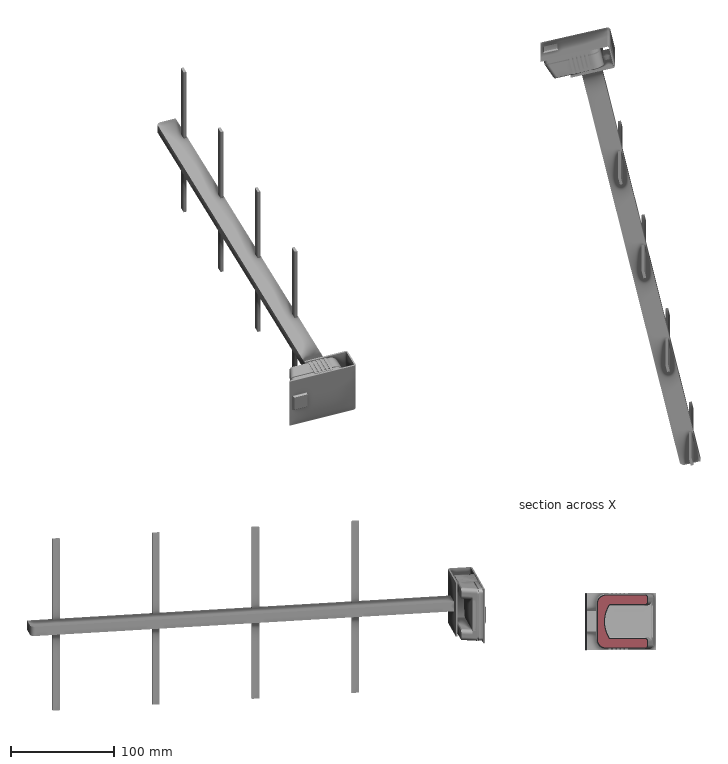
import cadquery as cq


BOOM_DEPTH = 20.0
BOOM_HEIGHT = 9.5
BOOM_TIP_RADIUS = 4.0
ELEMENT_COUNT = 4
ELEMENT_FIRST_X = 28.0
ELEMENT_PITCH = 98.1
ELEMENT_WIDTH = 7.2
ELEMENT_THICKNESS = 2.7
ELEMENT_LENGTH = 175.0
ELEMENT_Y = 7.3

TOTAL_LENGTH = 442.2
BRACKET_WIDTH = 24.0
BRACKET_HEIGHT = 55.0
BRACKET_BACK_Y = 25.0
BRACKET_DEPTH = 69.0
SHEET = 1.5
BEND_RADIUS = 2.7
INNER_BEND_RADIUS = BEND_RADIUS - SHEET
INNER_PLATE_DEPTH = 44.6

JOINT_OVERLAP = SHEET / 2

BOSS_HEIGHT = 17.5
BOSS_DEPTH = 14.6
BOSS_BACK_Y = -26.4
BOSS_CHAMFER = 1.2
BOSS_PROJECTION = 1.7

SADDLE_GAP = 0.8
SADDLE_HEIGHT = 53.4
SADDLE_BACK_Y = 14.2
SADDLE_BACK_RADIUS = 9.5
ARM_TIP_Y = -35.8
SADDLE_FRONT_Y = -41.3
ARM_TIP_RADIUS = 4.0
ARM_EDGE_CHAMFER = 0.8
FLANGE_THICKNESS = 3.8
SEAM_WIDTH = 1.3
SEAM_DEPTH = 1.0

SEAT_WIDTH = 31.0
SEAT_DEPTH_X = 10.3
SEAT_RADIUS = 30.0
SEAT_BOTTOM_Y = 6.0
SEAT_LIP_Y = -39.0
SEAT_LIP_WIDTH = 1.4

FIN_COUNT = 5
FIN_PITCH = 4.0
FIN_THICKNESS = 2.5
FIN_FIRST_Y = 0.7
FIN_INSET = 0.6

WEB_OFFSET = 4.0
WEB_WIDTH = 4.0
WEB_HEIGHT = 20.0

BRACKET_END_X = TOTAL_LENGTH - BOSS_PROJECTION
BRACKET_X = BRACKET_END_X - BRACKET_WIDTH
BRACKET_FRONT_Y = BRACKET_BACK_Y - BRACKET_DEPTH
SADDLE_X = BRACKET_X + SHEET + SADDLE_GAP
SADDLE_END_X = BRACKET_END_X - SHEET
BODY_END_X = SADDLE_END_X - FLANGE_THICKNESS - SEAM_WIDTH


def box(x_min, x_max, y_min, y_max, height):
    """Box given by its X and Y limits, centred on Z = 0."""
    block = cq.Workplane("XY").box(x_max - x_min, y_max - y_min, height, centered=(False, False, True))
    return block.translate((x_min, y_min, 0))


def make_boom():
    boom = box(0, BRACKET_X + JOINT_OVERLAP, -BOOM_DEPTH / 2, BOOM_DEPTH / 2, BOOM_HEIGHT)
    return boom.edges("|Z and <X and <Y").fillet(BOOM_TIP_RADIUS)


def make_element(x):
    element = cq.Workplane("XY").box(ELEMENT_WIDTH, ELEMENT_THICKNESS, ELEMENT_LENGTH)
    return element.translate((x, ELEMENT_Y, 0))


def make_bracket():
    outer = box(BRACKET_X, BRACKET_END_X, BRACKET_FRONT_Y, BRACKET_BACK_Y, BRACKET_HEIGHT)
    outer = outer.edges("|Z and >Y").fillet(BEND_RADIUS)
    inner = box(BRACKET_X + SHEET, SADDLE_END_X, BRACKET_FRONT_Y, BRACKET_BACK_Y - SHEET, BRACKET_HEIGHT)
    inner = inner.edges("|Z and >Y").fillet(INNER_BEND_RADIUS)
    inner_plate_end = box(
        BRACKET_X, BRACKET_X + SHEET, BRACKET_FRONT_Y, BRACKET_BACK_Y - INNER_PLATE_DEPTH, BRACKET_HEIGHT
    )
    return outer.cut(inner).cut(inner_plate_end)


def make_boss():
    boss = box(
        BRACKET_END_X - JOINT_OVERLAP, TOTAL_LENGTH, BOSS_BACK_Y - BOSS_DEPTH, BOSS_BACK_Y, BOSS_HEIGHT
    )
    return boss.faces(">X").edges("|Y or <Y").chamfer(BOSS_CHAMFER)


def make_seat():
    """Pole-seat cutter: parallel sides closed by a shallow arc at the back."""
    half = SEAT_WIDTH / 2
    arc_rise = SEAT_RADIUS - (SEAT_RADIUS**2 - half**2) ** 0.5
    shoulder_y = SEAT_BOTTOM_Y - arc_rise
    return (
        cq.Workplane("YZ", origin=(SADDLE_X, 0, 0))
        .moveTo(BRACKET_FRONT_Y, -half)
        .lineTo(shoulder_y, -half)
        .threePointArc((SEAT_BOTTOM_Y, 0), (shoulder_y, half))
        .lineTo(BRACKET_FRONT_Y, half)
        .close()
        .extrude(SEAT_DEPTH_X)
    )


def make_saddle_body():
    """Block with a rounded back and two tapered arms on either side of the pole seat."""
    body = (
        cq.Workplane("XY", origin=(0, 0, -SADDLE_HEIGHT / 2))
        .moveTo(SADDLE_X, SADDLE_BACK_Y)
        .lineTo(SADDLE_X, ARM_TIP_Y)
        .lineTo(BODY_END_X, SADDLE_FRONT_Y)
        .lineTo(BODY_END_X, SADDLE_BACK_Y)
        .close()
        .extrude(SADDLE_HEIGHT)
    )
    body = body.faces(">Y").edges("|X").fillet(SADDLE_BACK_RADIUS)
    body = body.cut(make_seat())
    body = body.faces("<X").edges("|Y").chamfer(ARM_EDGE_CHAMFER)
    tip_direction = cq.Vector(BODY_END_X - SADDLE_X, SADDLE_FRONT_Y - ARM_TIP_Y, 0)
    body = body.edges(cq.selectors.ParallelDirSelector(tip_direction)).fillet(ARM_TIP_RADIUS)
    lip_step = box(SADDLE_X, BODY_END_X - SEAT_LIP_WIDTH, SADDLE_FRONT_Y, SEAT_LIP_Y, SEAT_WIDTH)
    return body.cut(lip_step)


def make_saddle():
    body = make_saddle_body()
    core = box(
        SADDLE_END_X - FLANGE_THICKNESS - 2 * SEAM_WIDTH,
        SADDLE_END_X,
        SADDLE_FRONT_Y + SEAM_DEPTH,
        SADDLE_BACK_Y - SEAM_DEPTH,
        SADDLE_HEIGHT - 2 * SEAM_DEPTH,
    )
    core = core.faces(">Y").edges("|X").fillet(SADDLE_BACK_RADIUS)
    core = core.faces("<Y").edges("|X").fillet(ARM_TIP_RADIUS)
    flange = box(
        SADDLE_END_X - FLANGE_THICKNESS, SADDLE_END_X, SADDLE_FRONT_Y, SADDLE_BACK_Y, SADDLE_HEIGHT
    )
    flange = flange.faces(">Y").edges("|X").fillet(SADDLE_BACK_RADIUS)
    flange = flange.faces("<Y").edges("|X").fillet(ARM_TIP_RADIUS)
    return body.union(core).union(flange)


def make_fin(y):
    """Pair of thin bars across the two outer sides of the saddle."""
    half = FIN_THICKNESS / 2
    fin = box(SADDLE_X + FIN_INSET, SADDLE_END_X - FIN_INSET, y - half, y + half, BRACKET_HEIGHT)
    gap = box(SADDLE_X, SADDLE_END_X, y - half, y + half, SADDLE_HEIGHT - 2 * JOINT_OVERLAP)
    return fin.cut(gap)


def make_web():
    web_x = BRACKET_X + WEB_OFFSET
    front_y = SADDLE_BACK_Y - JOINT_OVERLAP
    back_y = BRACKET_BACK_Y - JOINT_OVERLAP
    return box(web_x, web_x + WEB_WIDTH, front_y, back_y, WEB_HEIGHT)


result = make_boom().union(make_bracket()).union(make_boss()).union(make_saddle()).union(make_web())
for element_index in range(ELEMENT_COUNT):
    result = result.union(make_element(ELEMENT_FIRST_X + element_index * ELEMENT_PITCH))
for fin_index in range(FIN_COUNT):
    result = result.union(make_fin(FIN_FIRST_Y - fin_index * FIN_PITCH))